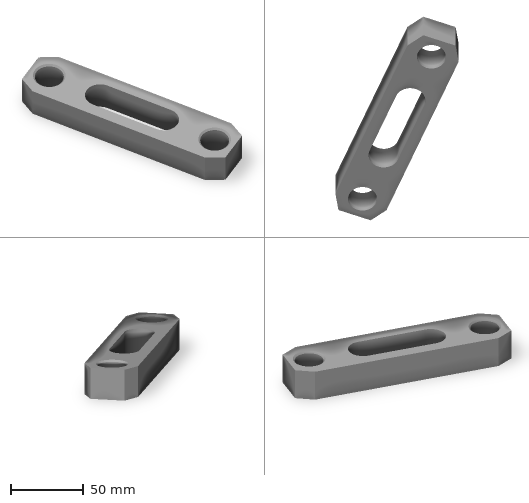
import cadquery as cq
import math

length = 160.0
width = 38.0
height = 22.0

corner_cut_width = 7.0
corner_cut_angle = 30.0
corner_cut_length = corner_cut_width / math.tan(math.radians(corner_cut_angle))

hole_spacing = 130.0
hole_diameter = 20.0
hole_chamfer = 1.25

slot_length = 71.0
slot_width = 21.0


def bar_body():
    """Rectangular bar with its four vertical corners cut off, resting on Z = 0."""
    half_length = length / 2
    half_width = width / 2
    flat_x = half_length - corner_cut_length
    flat_y = half_width - corner_cut_width
    outline = [
        (-flat_x, -half_width),
        (flat_x, -half_width),
        (half_length, -flat_y),
        (half_length, flat_y),
        (flat_x, half_width),
        (-flat_x, half_width),
        (-half_length, flat_y),
        (-half_length, -flat_y),
    ]
    return cq.Workplane("XY").polyline(outline).close().extrude(height)


def slot_cutter():
    """Round-ended through slot along X."""
    return cq.Workplane("XY").slot2D(slot_length, slot_width).extrude(height)


def hole_cutter(center_x):
    """Through hole with a 45 degree chamfer at the top rim."""
    hole_radius = hole_diameter / 2
    rim_radius = hole_radius + hole_chamfer
    profile = [
        (0, 0),
        (hole_radius, 0),
        (hole_radius, height - hole_chamfer),
        (rim_radius, height),
        (0, height),
    ]
    cutter = cq.Workplane("XZ").polyline(profile).close().revolve(360, (0, 0, 0), (0, 1, 0))
    return cutter.translate((center_x, 0, 0))


result = bar_body().cut(slot_cutter())
for side in (-1, 1):
    result = result.cut(hole_cutter(side * hole_spacing / 2))